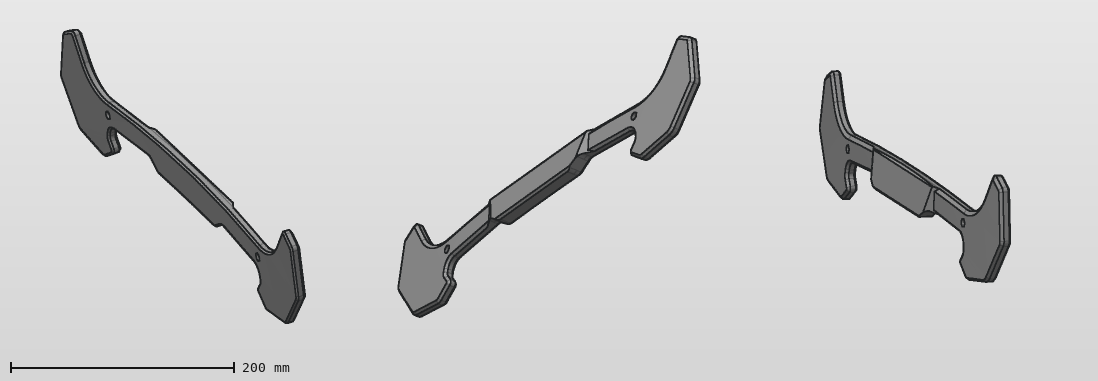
import cadquery as cq
import math


plate_thickness = 9.5
bow_radius = 3555.5
lean_angle = 3.0
front_chamfer = 2.0
rear_chamfer = 2.7

shoulder_x = 144.5
shoulder_z = 62.0
crown_z = 68.0
tab_bottom_z = 33.5

wing_corners = [
    (-54.2, tab_bottom_z, 9.0),
    (-69.5, 43.5, 9.0),
    (-143.0, 38.0, 10.5),
    (-146.0, 24.0, 6.0),
    (-137.0, 12.8, 4.0),
    (-156.0, -0.5, 7.0),
    (-198.8, 7.5, 11.5),
    (-228.5, 49.2, 7.0),
    (-220.0, 98.0, 5.5),
    (-202.0, 108.0, 4.5),
    (-172.0, 59.5, 44.5),
]

hole_x = 144.0
hole_z = 49.2
hole_diameter = 7.5

pad_lean_angle = 11.0
pad_height = 5.5
pad_base_half = 74.8
pad_end_run = 2.1
pad_bevel = 2.5

blank_depth = 91.0
slab_half_length = 273.5
slab_bottom_z = -23.0
slab_height = 159.5


def round_corner(path, before, corner, after):
    """Draw a line up to the corner and a tangent arc round it."""
    x, z, radius = corner
    in_x, in_z = before[0] - x, before[1] - z
    out_x, out_z = after[0] - x, after[1] - z
    in_length = math.hypot(in_x, in_z)
    out_length = math.hypot(out_x, out_z)
    in_x, in_z = in_x / in_length, in_z / in_length
    out_x, out_z = out_x / out_length, out_z / out_length
    half_angle = math.acos(in_x * out_x + in_z * out_z) / 2
    setback = radius / math.tan(half_angle)
    corner_to_arc = radius / math.sin(half_angle) - radius
    reach = corner_to_arc / math.hypot(in_x + out_x, in_z + out_z)
    start = (x + in_x * setback, z + in_z * setback)
    middle = (x + (in_x + out_x) * reach, z + (in_z + out_z) * reach)
    end = (x + out_x * setback, z + out_z * setback)
    return path.lineTo(*start).threePointArc(middle, end)


def round_corners(path, first_stop, corners, last_stop):
    """Round a run of corners lying between two plain points."""
    stops = [first_stop, *corners, last_stop]
    for before, corner, after in zip(stops, corners, stops[2:]):
        path = round_corner(path, before, corner, after)
    return path


def outline_prism():
    """Outline of both wings and the spine, extruded through the depth."""
    tab_middle = (0, tab_bottom_z)
    left_shoulder = (-shoulder_x, shoulder_z)
    right_shoulder = (shoulder_x, shoulder_z)
    right_corners = [(-x, z, radius) for x, z, radius in reversed(wing_corners)]
    path = cq.Workplane("XZ").moveTo(*tab_middle)
    path = round_corners(path, tab_middle, wing_corners, left_shoulder)
    path = path.lineTo(*left_shoulder).threePointArc((0, crown_z), right_shoulder)
    path = round_corners(path, right_shoulder, right_corners, tab_middle)
    return path.close().extrude(blank_depth, both=True)


def bowed_slab():
    """Slab between two concentric arcs, its front at Y = 0 at mid-length."""
    rear_radius = bow_radius + plate_thickness

    def arc_point(radius, x):
        return (x, math.sqrt(radius**2 - x**2) - bow_radius)

    return (
        cq.Workplane("XY", origin=(0, 0, slab_bottom_z))
        .moveTo(*arc_point(bow_radius, -slab_half_length))
        .threePointArc(arc_point(bow_radius, 0), arc_point(bow_radius, slab_half_length))
        .lineTo(*arc_point(rear_radius, slab_half_length))
        .threePointArc(arc_point(rear_radius, 0), arc_point(rear_radius, -slab_half_length))
        .close()
        .extrude(slab_height)
    )


def make_plate():
    plate = outline_prism().intersect(bowed_slab())
    plate = plate.faces("<Y").edges().chamfer(front_chamfer)
    return plate.faces(">Y").edges().chamfer(rear_chamfer)


def make_pad():
    """Wedge on the rear of the spine, as tall as the tab, with sloping ends."""
    root_y = plate_thickness / 2
    taper = math.tan(math.radians(pad_lean_angle - lean_angle))
    bottom_face_y = plate_thickness + pad_height
    top_face_y = bottom_face_y - taper * (crown_z - tab_bottom_z)
    root_half = pad_base_half + pad_end_run * (plate_thickness - root_y)
    face_half = pad_base_half - pad_end_run * pad_height
    wedge = (
        cq.Workplane("YZ")
        .moveTo(root_y, tab_bottom_z)
        .lineTo(bottom_face_y - pad_bevel, tab_bottom_z)
        .lineTo(bottom_face_y, tab_bottom_z + pad_bevel)
        .lineTo(top_face_y, crown_z - pad_bevel)
        .lineTo(top_face_y - pad_bevel, crown_z)
        .lineTo(root_y, crown_z)
        .close()
        .extrude(root_half, both=True)
    )
    sloping_ends = (
        cq.Workplane("XY", origin=(0, 0, tab_bottom_z))
        .moveTo(-root_half, root_y)
        .lineTo(root_half, root_y)
        .lineTo(face_half, bottom_face_y)
        .lineTo(-face_half, bottom_face_y)
        .close()
        .extrude(crown_z - tab_bottom_z)
    )
    return wedge.intersect(sloping_ends).intersect(outline_prism())


def make_holes():
    return (
        cq.Workplane("XZ")
        .pushPoints([(-hole_x, hole_z), (hole_x, hole_z)])
        .circle(hole_diameter / 2)
        .extrude(blank_depth, both=True)
    )


upright = make_plate().union(make_pad()).cut(make_holes())
result = upright.rotate((0, 0, 0), (1, 0, 0), lean_angle)